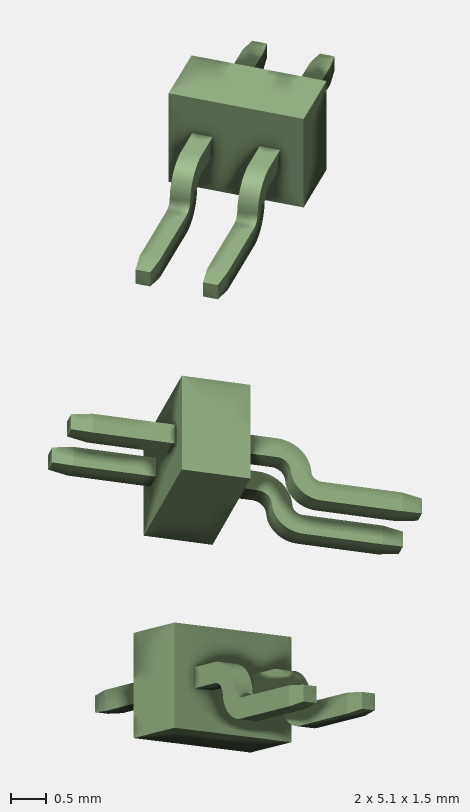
import cadquery as cq
import math


pitch = 1.0
pin_count = 2
housing_width = pin_count * pitch
housing_depth = pitch
housing_height = 1.5

pin_size = 0.3
upper_centre_z = housing_height / 2
lower_centre_z = pin_size / 2
overall_length = 5.1
back_reach = 1.5
back_y = housing_depth / 2 + back_reach
front_y = back_y - overall_length

tip_length = 0.3
tip_width = 0.22
tip_height = 0.24

straight_length = 0.485
bend_start_y = -housing_depth / 2 - straight_length
upper_outer_radius = 0.5
lower_inner_radius = 0.15
upper_inner_radius = upper_outer_radius - pin_size
lower_outer_radius = lower_inner_radius + pin_size
drop = upper_centre_z - lower_centre_z
radius_sum = upper_outer_radius + lower_inner_radius
bend_angle = math.acos(1 - drop / radius_sum)
bend_end_y = bend_start_y - radius_sum * math.sin(bend_angle)

upper_centre = (bend_start_y, upper_centre_z + pin_size / 2 - upper_outer_radius)
lower_centre = (bend_end_y, pin_size + lower_inner_radius)

pin_positions = [(i - (pin_count - 1) / 2) * pitch for i in range(pin_count)]


def upper_bend_point(radius, angle):
    """Point on the upper bend, with the angle measured from straight up toward -Y."""
    y, z = upper_centre
    return (y - radius * math.sin(angle), z + radius * math.cos(angle))


def lower_bend_point(radius, angle):
    """Point on the lower bend, with the angle measured from straight down toward +Y."""
    y, z = lower_centre
    return (y + radius * math.sin(angle), z - radius * math.cos(angle))


def make_shaft():
    """Square shaft between the two tips, with its S-bend."""
    shaft_back_y = back_y - tip_length
    shaft_front_y = front_y + tip_length
    half_angle = bend_angle / 2
    return (
        cq.Workplane("YZ")
        .moveTo(shaft_back_y, upper_centre_z + pin_size / 2)
        .lineTo(*upper_bend_point(upper_outer_radius, 0))
        .threePointArc(
            upper_bend_point(upper_outer_radius, half_angle),
            upper_bend_point(upper_outer_radius, bend_angle),
        )
        .threePointArc(
            lower_bend_point(lower_inner_radius, half_angle),
            lower_bend_point(lower_inner_radius, 0),
        )
        .lineTo(shaft_front_y, pin_size)
        .lineTo(shaft_front_y, 0)
        .lineTo(*lower_bend_point(lower_outer_radius, 0))
        .threePointArc(
            lower_bend_point(lower_outer_radius, half_angle),
            lower_bend_point(lower_outer_radius, bend_angle),
        )
        .threePointArc(
            upper_bend_point(upper_inner_radius, half_angle),
            upper_bend_point(upper_inner_radius, 0),
        )
        .lineTo(shaft_back_y, upper_centre_z - pin_size / 2)
        .close()
        .extrude(pin_size / 2, both=True)
    )


def make_tip(end_y, direction, centre_z):
    """Tapered tip that ends at end_y and points along Y in the given direction."""
    base = cq.Plane(
        origin=(0, end_y - direction * tip_length, centre_z),
        xDir=(1, 0, 0),
        normal=(0, direction, 0),
    )
    return (
        cq.Workplane(base)
        .rect(pin_size, pin_size)
        .workplane(offset=tip_length)
        .rect(tip_width, tip_height)
        .loft(ruled=True)
    )


def make_pin(x):
    """One bent pin with its two tips, centred on the given X."""
    back_tip = make_tip(back_y, 1, upper_centre_z)
    front_tip = make_tip(front_y, -1, lower_centre_z)
    return make_shaft().union(back_tip).union(front_tip).translate((x, 0, 0))


def make_housing():
    """Rectangular block with a square through hole for each pin."""
    block = cq.Workplane("XY").box(
        housing_width, housing_depth, housing_height, centered=(True, True, False)
    )
    for x in pin_positions:
        hole = cq.Workplane("XY").box(pin_size, housing_depth, pin_size)
        block = block.cut(hole.translate((x, 0, upper_centre_z)))
    return block


housing = make_housing()
pins = [make_pin(x) for x in pin_positions]

result = cq.Compound.makeCompound([housing.val(), *[pin.val() for pin in pins]])